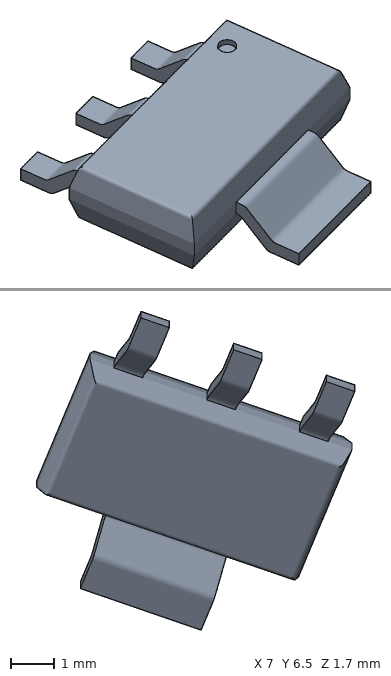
import cadquery as cq
import math

SPAN = 7.0
BODY_WIDTH = 3.5
BODY_LENGTH = 6.5
TOP_Z = 1.7
STANDOFF = 0.08

BAND_TOP_Z = 1.09
TAPER_INSET = 0.175
EDGE_RADIUS = 0.1

MARK_DIAMETER = 0.44
MARK_DEPTH = 0.15
MARK_X = -1.05
MARK_Y = 2.3

THICKNESS = 0.36
SHOULDER_CORNER_X = 1.99
FOOT_CORNER_X = 2.77
BEND_RADIUS = 0.2
LEAD_WIDTH = 0.71
LEAD_PITCH = 2.3
LEAD_COUNT = 3
TAB_WIDTH = 3.0
BEND_MARGIN = 0.015

BAND_BOTTOM_Z = BAND_TOP_Z - THICKNESS
SLOPE_ANGLE = math.atan2(BAND_BOTTOM_Z, FOOT_CORNER_X - SHOULDER_CORNER_X)
UNDERSIDE_SHIFT = THICKNESS * math.tan(SLOPE_ANGLE / 2)


def tapered_block(start_z, height):
    """Drafted block growing from start_z; a negative height grows it downward."""
    draft_angle = math.degrees(math.atan2(TAPER_INSET, abs(height)))
    return (
        cq.Workplane("XY", origin=(0, 0, start_z))
        .rect(BODY_WIDTH, BODY_LENGTH)
        .extrude(height, taper=draft_angle)
    )


def make_body():
    """Molded body with rounded top and bottom rims and a round index mark."""
    band = (
        cq.Workplane("XY", origin=(0, 0, BAND_BOTTOM_Z))
        .rect(BODY_WIDTH, BODY_LENGTH)
        .extrude(THICKNESS)
    )
    upper = tapered_block(BAND_TOP_Z, TOP_Z - BAND_TOP_Z).faces(">Z").edges().fillet(EDGE_RADIUS)
    lower = tapered_block(BAND_BOTTOM_Z, STANDOFF - BAND_BOTTOM_Z).faces("<Z").edges().fillet(EDGE_RADIUS)
    mark = (
        cq.Workplane("XY", origin=(MARK_X, MARK_Y, TOP_Z - MARK_DEPTH))
        .circle(MARK_DIAMETER / 2)
        .extrude(MARK_DEPTH)
    )
    return band.union(upper).union(lower).cut(mark)


def make_terminal(side, width, center_y):
    """Bent strip that starts on the body wall; side is -1 for -X and 1 for +X."""
    wall_x = BODY_WIDTH / 2
    tip_x = SPAN / 2
    outline = [
        (wall_x, BAND_TOP_Z),
        (SHOULDER_CORNER_X, BAND_TOP_Z),
        (FOOT_CORNER_X, THICKNESS),
        (tip_x, THICKNESS),
        (tip_x, 0),
        (FOOT_CORNER_X - UNDERSIDE_SHIFT, 0),
        (SHOULDER_CORNER_X - UNDERSIDE_SHIFT, BAND_BOTTOM_Z),
        (wall_x, BAND_BOTTOM_Z),
    ]
    strip = (
        cq.Workplane("XZ", origin=(0, center_y, 0))
        .polyline([(side * x, z) for x, z in outline])
        .close()
        .extrude(width / 2, both=True)
    )
    bends = strip.edges("|Y").edges(cq.selectors.BoxSelector(
        (side * (wall_x + BEND_MARGIN), center_y - width, -THICKNESS),
        (side * (tip_x - BEND_MARGIN), center_y + width, TOP_Z),
    ))
    return bends.fillet(BEND_RADIUS)


body = make_body()
leads = []
for index in range(LEAD_COUNT):
    lead_y = (index - (LEAD_COUNT - 1) / 2) * LEAD_PITCH
    leads.append(make_terminal(-1, LEAD_WIDTH, lead_y))
tab = make_terminal(1, TAB_WIDTH, 0)

result = cq.Compound.makeCompound([body.val(), *[lead.val() for lead in leads], tab.val()])